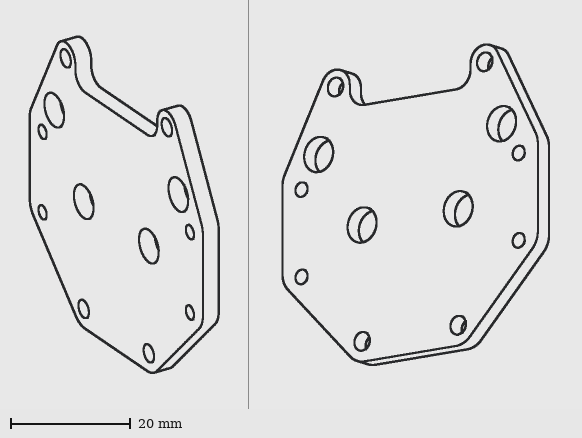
import cadquery as cq
import math

width = 53.2
thickness = 3.2
half_width = width / 2
bottom_z = -23.5
shoulder_z = 20.6
side_top_z = 9.95
side_bottom_z = -7.8
bottom_half_width = 11.3
corner_radius = 4.0

ear_x = 15.55
ear_z = 24.5
ear_radius = 3.0
ear_root_radius = 3.0

small_diameter = 2.5
medium_diameter = 3.2
large_diameter = 6.0
column_x = 10.0
bottom_hole_z = -20.0
upper_hole_x = 19.05
upper_hole_z = 13.35
side_hole_x = 22.6
side_hole_top_z = 7.8
side_hole_bottom_z = -7.2


def ear_point(angle):
    """Point on the right ear's rim at an angle measured from +X."""
    return ear_x + ear_radius * math.cos(angle), ear_z + ear_radius * math.sin(angle)


def mirrored(point):
    return -point[0], point[1]


def make_plate():
    dx = half_width - ear_x
    dz = side_top_z - ear_z
    tangent_angle = math.atan2(dz, dx) + math.acos(ear_radius / math.hypot(dx, dz))
    ear_outer = ear_point(tangent_angle)
    ear_top = ear_point(math.pi / 2)
    ear_inner = ear_point(math.pi)
    shoulder = (ear_inner[0], shoulder_z)
    side_top = (half_width, side_top_z)
    side_bottom = (half_width, side_bottom_z)
    bottom = (bottom_half_width, bottom_z)

    plate = (
        cq.Workplane("XZ")
        .moveTo(*mirrored(bottom))
        .lineTo(*bottom)
        .lineTo(*side_bottom)
        .lineTo(*side_top)
        .lineTo(*ear_outer)
        .threePointArc(ear_top, ear_inner)
        .lineTo(*shoulder)
        .lineTo(*mirrored(shoulder))
        .lineTo(*mirrored(ear_inner))
        .threePointArc(mirrored(ear_top), mirrored(ear_outer))
        .lineTo(*mirrored(side_top))
        .lineTo(*mirrored(side_bottom))
        .close()
        .extrude(thickness)
    )
    plate = round_corners(plate, [side_top, side_bottom, bottom], corner_radius)
    return round_corners(plate, [shoulder], ear_root_radius)


def round_corners(plate, corners, radius):
    """Round the through-thickness edges at each corner and its mirror image."""
    for corner in corners:
        for x, z in (corner, mirrored(corner)):
            selector = cq.selectors.NearestToPointSelector((x, -thickness / 2, z))
            plate = plate.edges("|Y").edges(selector).fillet(radius)
    return plate


def cut_hole_pair(plate, x, z, diameter):
    """Cut a through hole at +x and another at -x."""
    drills = (
        cq.Workplane("XZ")
        .pushPoints([(x, z), (-x, z)])
        .circle(diameter / 2)
        .extrude(thickness)
    )
    return plate.cut(drills)


hole_pairs = [
    (ear_x, ear_z, medium_diameter),
    (upper_hole_x, upper_hole_z, large_diameter),
    (side_hole_x, side_hole_top_z, small_diameter),
    (side_hole_x, side_hole_bottom_z, small_diameter),
    (column_x, 0, large_diameter),
    (column_x, bottom_hole_z, medium_diameter),
]

result = make_plate()
for hole_x, hole_z, hole_diameter in hole_pairs:
    result = cut_hole_pair(result, hole_x, hole_z, hole_diameter)